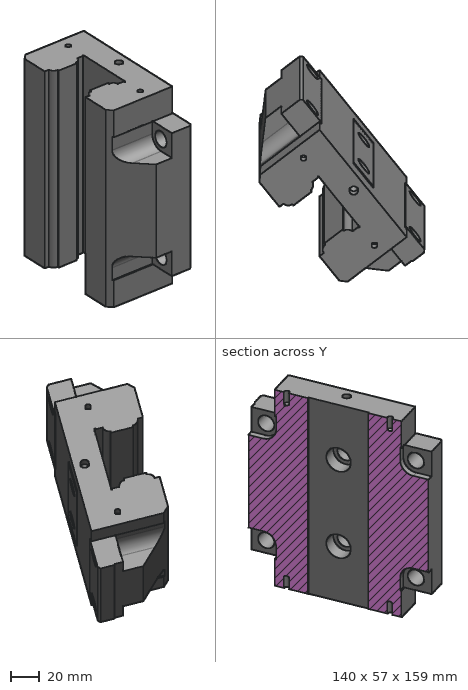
import cadquery as cq
import math


total_length = 159.0
total_depth = 57.0
total_width = 140.0
block_length = 115.5

flange_half_width = total_width / 2
back_chamfer = 1.6
reference_ledge = 0.6
reference_edge_depth = 11.5
flange_edge_depth = 32.6
flank_x = flange_half_width - reference_ledge
front_half_width = flank_x - (total_depth - flange_edge_depth)

pad_height = 0.6
centre_pad_half_width = 11.3
side_pad_inner_x = 47.2

cap_half_width = 49.1
cap_flank = cap_half_width - front_half_width

slot_floor_depth = 22.0
slot_floor_half_width = 23.2
slot_lip = 0.6
slot_wall_half_width = slot_floor_half_width - slot_lip
ridge_half_gap = 17.3
ridge_start_depth = 32.5
ridge_end_depth = 48.7
ridge_radius = 4.6

hole_diameter = 12.5
flange_hole_x = 57.9
flange_hole_z = 47.4
relief_radius = 9.7
relief_depth = 18.0
relief_wall_x = flange_hole_x - relief_radius
relief_floor_z = flange_hole_z - relief_radius
rail_hole_z = 35.0
counterbore_diameter = 19.0
counterbore_depth = 11.1

lube_hole_diameter = 6.0
lube_hole_depth = 8.9
screw_hole_diameter = 4.0
screw_hole_x = 39.9
screw_hole_depth = 22.0
drilled_length = 9.5
drill_point_angle = 118.0


def extrude_along_rail(profile, length):
    """Extrude a closed XY profile symmetrically about Z = 0."""
    return profile.extrude(length / 2, both=True)


def box(x_min, x_max, depth_min, depth_max, length):
    """Box between two X positions and two depths, centred on Z = 0."""
    size_x = x_max - x_min
    size_y = depth_max - depth_min
    centre = ((x_min + x_max) / 2, -(depth_min + depth_max) / 2, 0)
    return cq.Workplane("XY").box(size_x, size_y, length).translate(centre)


def make_block():
    """Flanged middle block with 45 degree flanks and raised mounting pads."""
    profile = (
        cq.Workplane("XY")
        .moveTo(-flange_half_width + back_chamfer, 0)
        .lineTo(flange_half_width - back_chamfer, 0)
        .lineTo(flange_half_width, -back_chamfer)
        .lineTo(flange_half_width, -flange_edge_depth + reference_ledge)
        .lineTo(front_half_width, -total_depth)
        .lineTo(-front_half_width, -total_depth)
        .lineTo(-flank_x, -flange_edge_depth)
        .lineTo(-flank_x, -reference_edge_depth - reference_ledge)
        .lineTo(-flange_half_width, -reference_edge_depth)
        .lineTo(-flange_half_width, -back_chamfer)
        .close()
    )
    block = extrude_along_rail(profile, block_length)
    left_recess = box(-side_pad_inner_x, -centre_pad_half_width, 0, pad_height, block_length)
    return block.cut(left_recess).cut(left_recess.mirror("YZ"))


def make_end_caps():
    """Narrow caps on both ends of the block, flush with its front and flanks."""
    profile = (
        cq.Workplane("XY")
        .moveTo(-cap_half_width, -pad_height)
        .lineTo(cap_half_width, -pad_height)
        .lineTo(cap_half_width, -total_depth + cap_flank)
        .lineTo(front_half_width, -total_depth)
        .lineTo(-front_half_width, -total_depth)
        .lineTo(-cap_half_width, -total_depth + cap_flank)
        .close()
    )
    cap_length = (total_length - block_length) / 2
    upper_cap = profile.extrude(cap_length).translate((0, 0, block_length / 2))
    return upper_cap.union(upper_cap.mirror("XY"))


def make_ridge():
    """Rounded bearing ridge that narrows the slot on the -X side."""
    arc_offset = math.sqrt(ridge_radius**2 - slot_lip**2)
    diagonal = ridge_radius * math.cos(math.radians(45))
    arc_mid_x = -slot_floor_half_width + diagonal
    arc_end_x = -slot_floor_half_width + ridge_radius
    profile = (
        cq.Workplane("XY")
        .moveTo(-slot_wall_half_width, -ridge_start_depth + arc_offset)
        .threePointArc((arc_mid_x, -ridge_start_depth + diagonal), (arc_end_x, -ridge_start_depth))
        .lineTo(-ridge_half_gap, -ridge_start_depth)
        .lineTo(-ridge_half_gap, -ridge_end_depth)
        .lineTo(arc_end_x, -ridge_end_depth)
        .threePointArc(
            (arc_mid_x, -ridge_end_depth - diagonal),
            (-slot_wall_half_width, -ridge_end_depth - arc_offset),
        )
        .close()
    )
    return extrude_along_rail(profile, total_length)


def make_rail_slot():
    """Material removed for the rail, leaving a bearing ridge on each side."""
    slot = box(-slot_wall_half_width, slot_wall_half_width, slot_floor_depth, total_depth, total_length)
    undercut = box(
        -slot_floor_half_width,
        slot_floor_half_width,
        slot_floor_depth,
        slot_floor_depth + slot_lip,
        total_length,
    )
    ridge = make_ridge()
    return slot.union(undercut).cut(ridge).cut(ridge.mirror("YZ"))


def make_corner_relief():
    """Pocket that clears the screw head at the +X, +Z flange hole."""
    size_x = flange_half_width - relief_wall_x
    size_y = total_depth - relief_depth
    size_z = block_length / 2 - relief_floor_z
    return (
        cq.Workplane("XY")
        .box(size_x, size_y, size_z, centered=False)
        .edges("<X and <Z")
        .fillet(relief_radius)
        .translate((relief_wall_x, -total_depth, relief_floor_z))
    )


def bore_from_mounting_face(diameter, x, z, depth):
    """Cylinder that runs from the mounting face to the given depth along -Y."""
    return (
        cq.Workplane("XZ", origin=(x, 0, z))
        .circle(diameter / 2)
        .extrude(depth)
    )


def drilled_hole(diameter, x, depth):
    """Blind hole with a conical bottom, drilled into the +Z end face."""
    radius = diameter / 2
    point_length = radius / math.tan(math.radians(drill_point_angle / 2))
    return (
        cq.Workplane("XZ")
        .lineTo(radius, 0)
        .lineTo(radius, -drilled_length)
        .lineTo(0, -drilled_length - point_length)
        .close()
        .revolve(360, (0, 0, 0), (0, 1, 0))
        .translate((x, -depth, total_length / 2))
    )


body = make_block().union(make_end_caps()).cut(make_rail_slot())

corner_relief = make_corner_relief()
for relief in (corner_relief, corner_relief.mirror("YZ")):
    body = body.cut(relief).cut(relief.mirror("XY"))
for hole_x in (-flange_hole_x, flange_hole_x):
    for hole_z in (-flange_hole_z, flange_hole_z):
        body = body.cut(bore_from_mounting_face(hole_diameter, hole_x, hole_z, total_depth))

for hole_z in (-rail_hole_z, rail_hole_z):
    through_hole = bore_from_mounting_face(hole_diameter, 0, hole_z, slot_floor_depth)
    head_recess = bore_from_mounting_face(counterbore_diameter, 0, hole_z, counterbore_depth)
    head_recess = head_recess.translate((0, counterbore_depth - slot_floor_depth, 0))
    body = body.cut(through_hole).cut(head_recess)

end_holes = [
    drilled_hole(lube_hole_diameter, 0, lube_hole_depth),
    drilled_hole(screw_hole_diameter, -screw_hole_x, screw_hole_depth),
    drilled_hole(screw_hole_diameter, screw_hole_x, screw_hole_depth),
]
for hole in end_holes:
    body = body.cut(hole).cut(hole.mirror("XY"))

result = body